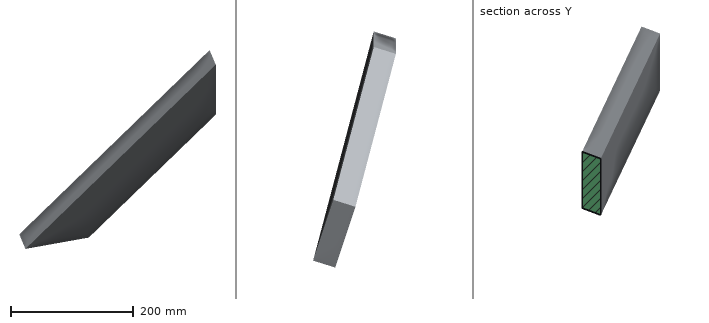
import cadquery as cq

span = 323.3
thickness = 38.0
end_length = 107.5

half_span = span / 2

outline = [
    (-half_span, -half_span),
    (-half_span + end_length, -half_span),
    (half_span, half_span - end_length),
    (half_span, half_span),
]

result = cq.Workplane("YZ").polyline(outline).close().extrude(thickness / 2, both=True)